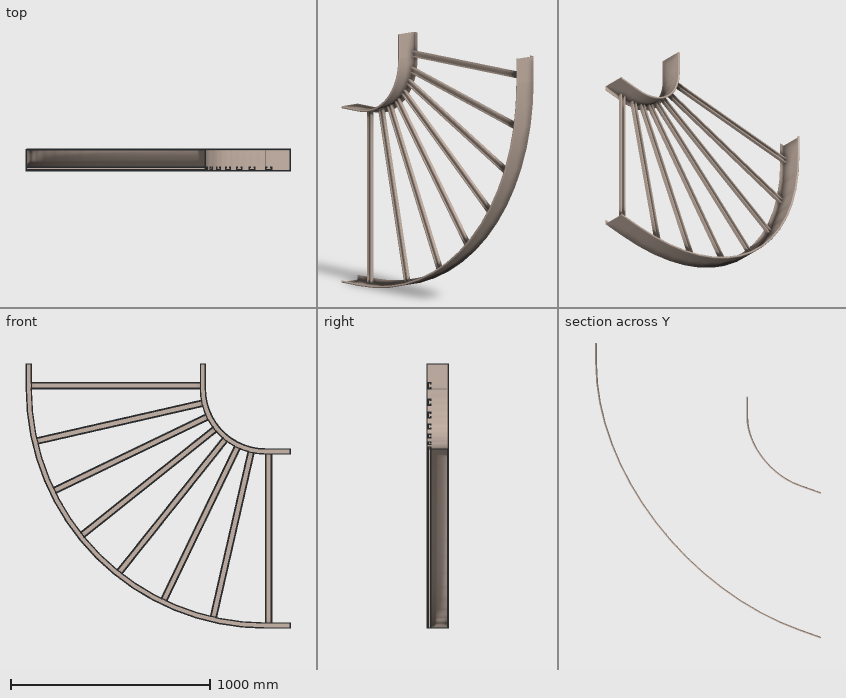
import cadquery as cq
import math


overall_length = 1325.0
rail_height = 110.0
straight_length = 125.0
ladder_width = 900.0
rail_thickness = 2.0
flange_width = 26.0
bead_radius = 5.0

rung_count = 8
rung_width = 32.0
rung_depth = 16.0
rung_thickness = 3.3
rung_lip = 7.0
rung_front = 5.0

bend_angle = 90.0
outer_radius = overall_length - straight_length
inner_radius = outer_radius - ladder_width
bend_x = overall_length - straight_length
bend_z = overall_length - straight_length
rung_start = inner_radius + rail_thickness
rung_end = outer_radius - rail_thickness


def rail_section(web_radius, inward):
    """Rail profile at the top end of a rail; inward is the X direction from web to rungs (+1 or -1)."""
    def place(depth, y):
        return (bend_x - web_radius + inward * depth, y)

    bead_inner_radius = bead_radius - rail_thickness
    bead_y = rail_height - bead_radius
    return (
        cq.Workplane("XY", origin=(0, 0, overall_length))
        .moveTo(*place(0, 0))
        .lineTo(*place(flange_width, 0))
        .lineTo(*place(flange_width, rail_thickness))
        .lineTo(*place(rail_thickness, rail_thickness))
        .lineTo(*place(rail_thickness, bead_y))
        .threePointArc(
            place(bead_radius, bead_y + bead_inner_radius),
            place(bead_radius + bead_inner_radius, bead_y),
        )
        .lineTo(*place(2 * bead_radius, bead_y))
        .threePointArc(place(bead_radius, rail_height), place(0, bead_y))
        .close()
    )


def make_rail(web_radius, inward):
    """Side rail: a straight stretch, the quarter bend and a second straight stretch."""
    diagonal = web_radius * math.sqrt(0.5)
    path = (
        cq.Workplane("XZ")
        .moveTo(bend_x - web_radius, overall_length)
        .lineTo(bend_x - web_radius, bend_z)
        .threePointArc((bend_x - diagonal, bend_z - diagonal), (bend_x, bend_z - web_radius))
        .lineTo(overall_length, bend_z - web_radius)
    )
    return rail_section(web_radius, inward).sweep(path)


def rung_bar(start, end):
    """C-section bar along -X from the bend axis, open towards the back."""
    length = end - start
    opening_width = rung_width - 2 * rung_lip
    cavity_width = rung_width - 2 * rung_thickness
    cavity_depth = rung_depth - 2 * rung_thickness

    def block(width, depth, y):
        corner = (bend_x - end, y, bend_z - width / 2)
        return cq.Workplane("XY").box(length, depth, width, centered=False).translate(corner)

    body = block(rung_width, rung_depth, rung_front)
    cavity = block(cavity_width, cavity_depth, rung_front + rung_thickness)
    opening = block(opening_width, rung_depth, rung_front + rung_thickness)
    return body.cut(cavity).cut(opening)


def turn(body, angle):
    """Turn a body about the bend axis, from -X towards -Z."""
    return body.rotate((bend_x, 0, bend_z), (bend_x, 1, bend_z), -angle)


def make_radial_rung(angle):
    """Rung on a radius of the bend, its square outer corners touching the curved outer web."""
    square_end = math.sqrt(rung_end**2 - (rung_width / 2) ** 2)
    return turn(rung_bar(rung_start, square_end), angle)


def make_end_rung(angle, shift):
    """Rung in a straight stretch, its side level with the start of the bend."""
    bar = rung_bar(rung_start, rung_end).translate((0, 0, shift * rung_width / 2))
    return turn(bar, angle)


outer_rail = make_rail(outer_radius, 1)
inner_rail = make_rail(inner_radius, -1)

rungs = [make_end_rung(0, 1), make_end_rung(bend_angle, -1)]
for step in range(1, rung_count - 1):
    rungs.append(make_radial_rung(bend_angle * step / (rung_count - 1)))

result = cq.Compound.makeCompound(
    [outer_rail.val(), inner_rail.val(), *[rung.val() for rung in rungs]]
)